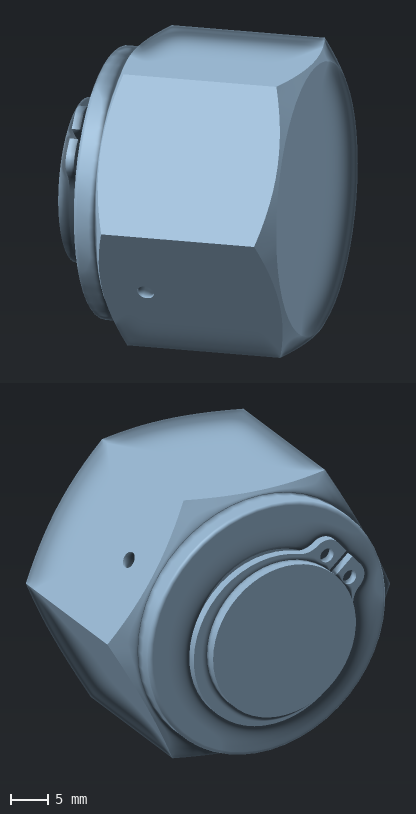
import cadquery as cq
import math

ring_front = 1.75
ring_back = 2.95
collar_front = 4.3
hex_front = 7.35
overall_length = 32.8

width_over_corners = 43.95
hex_tilt = 2.6
corner_diameter = width_over_corners / math.cos(math.radians(hex_tilt))
collar_diameter = 36.87
chamfer_small_diameter = 37.0
collar_rounding = 0.53
envelope_clearance = 0.45
chamfer_angle = 30.0
bore_diameter = 22.8
cross_hole_diameter = 2.3
cross_hole_x = 13.75
cross_hole_angle = hex_tilt + 30.0

pin_diameter = 22.2
groove_diameter = 21.0
groove_front = 1.6

gap_angle = 40.4
ring_outer_diameter = 24.95
ring_offset = 0.75
lug_u = 12.35
lug_v = 2.72
lug_radius = 2.3
lug_hole_diameter = 2.0
gap_width = 1.4
lug_fillet = 3.08


def cylinder_x(diameter, start, end):
    return cq.Workplane("YZ", origin=(start, 0, 0)).circle(diameter / 2).extrude(end - start)


def make_chamfer_envelope():
    """Turned shape that bevels the hexagon corners at both ends."""
    small_radius = chamfer_small_diameter / 2
    large_radius = corner_diameter / 2 + envelope_clearance
    bevel_length = (large_radius - small_radius) * math.tan(math.radians(chamfer_angle))
    return (
        cq.Workplane("XY")
        .moveTo(hex_front, 0)
        .lineTo(hex_front, small_radius)
        .lineTo(hex_front + bevel_length, large_radius)
        .lineTo(overall_length - bevel_length, large_radius)
        .lineTo(overall_length, small_radius)
        .lineTo(overall_length, 0)
        .close()
        .revolve(360, (0, 0, 0), (1, 0, 0))
    )


def make_nut():
    hexagon = (
        cq.Workplane("YZ", origin=(hex_front, 0, 0))
        .polygon(6, corner_diameter)
        .extrude(overall_length - hex_front)
        .rotate((0, 0, 0), (1, 0, 0), hex_tilt)
        .intersect(make_chamfer_envelope())
    )
    collar = cylinder_x(collar_diameter, collar_front, hex_front).faces("<X").edges().fillet(collar_rounding)
    nut = hexagon.union(collar).cut(cylinder_x(bore_diameter, collar_front, overall_length))
    bore_mouth = cq.selectors.RadiusNthSelector(0)
    nut = nut.faces("<X").edges("%CIRCLE").edges(bore_mouth).fillet(collar_rounding)

    cross_holes = (
        cq.Workplane("XZ", origin=(cross_hole_x, 0, 0))
        .circle(cross_hole_diameter / 2)
        .extrude(corner_diameter / 2, both=True)
        .rotate((0, 0, 0), (1, 0, 0), cross_hole_angle)
    )
    return nut.cut(cross_holes)


def make_pin():
    neck = cylinder_x(pin_diameter, 0, hex_front)
    shank = cylinder_x(bore_diameter, hex_front, overall_length)
    groove = cylinder_x(pin_diameter, groove_front, ring_back).cut(
        cylinder_x(groove_diameter, groove_front, ring_back)
    )
    return neck.union(shank).cut(groove)


def make_retaining_ring():
    angle = math.radians(gap_angle)
    ring_plane = cq.Plane(
        origin=(ring_front, 0, 0),
        xDir=(0, -math.cos(angle), math.sin(angle)),
        normal=(1, 0, 0),
    )
    sketch_plane = cq.Workplane(ring_plane)
    thickness = ring_back - ring_front
    lug_centres = [(lug_u, -lug_v), (lug_u, lug_v)]
    lug_top = lug_u + lug_radius

    rim = sketch_plane.center(-ring_offset, 0).circle(ring_outer_diameter / 2).extrude(thickness)
    lugs = sketch_plane.pushPoints(lug_centres).circle(lug_radius).extrude(thickness)
    web = sketch_plane.center(lug_top / 2, 0).rect(lug_top, 2 * lug_v).extrude(thickness)
    ring = rim.union(web).union(lugs)

    rim_radius = ring_outer_diameter / 2
    centre_distance = math.hypot(lug_u + ring_offset, lug_v)
    along = (centre_distance**2 + rim_radius**2 - lug_radius**2) / (2 * centre_distance)
    corner_angle = math.atan2(lug_v, lug_u + ring_offset) + math.acos(along / rim_radius)
    corner_u = rim_radius * math.cos(corner_angle) - ring_offset
    corner_v = rim_radius * math.sin(corner_angle)
    for side in (-1, 1):
        corner = ring_plane.toWorldCoords((corner_u, side * corner_v, thickness / 2))
        ring = ring.edges("|X").edges(cq.selectors.NearestToPointSelector(corner)).fillet(lug_fillet)

    bore = sketch_plane.circle(groove_diameter / 2).extrude(thickness)
    lug_holes = sketch_plane.pushPoints(lug_centres).circle(lug_hole_diameter / 2).extrude(thickness)
    gap = sketch_plane.center(lug_top / 2, 0).rect(lug_top, gap_width).extrude(thickness)
    return ring.cut(bore).cut(lug_holes).cut(gap)


nut = make_nut()
pin = make_pin()
retaining_ring = make_retaining_ring()

result = cq.Compound.makeCompound([nut.val(), pin.val(), retaining_ring.val()])